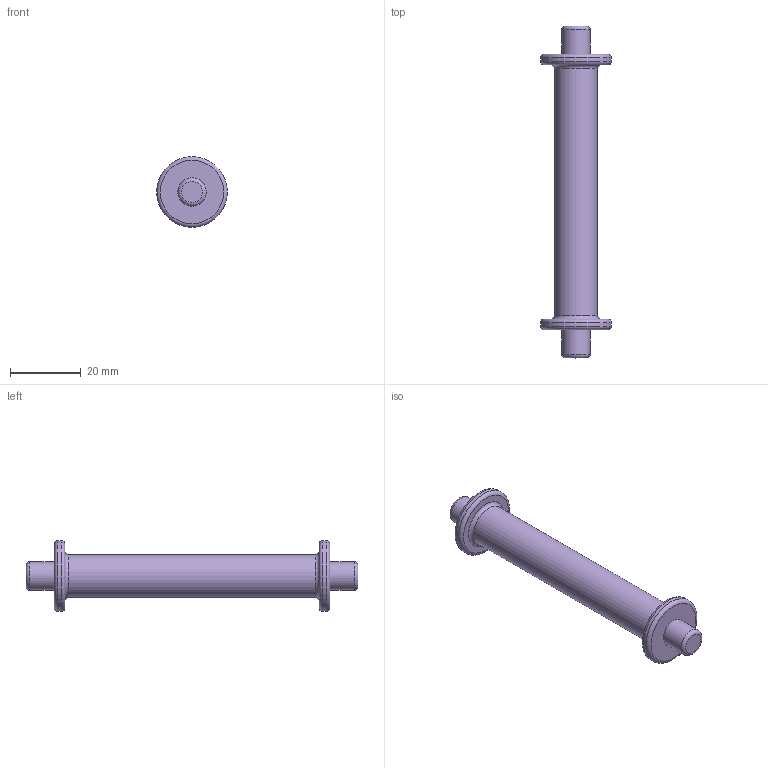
import cadquery as cq

overall_length = 94.0
shaft_diameter = 12.0
flange_diameter = 20.0
flange_thickness = 3.0
pin_diameter = 8.0
pin_length = 8.0
flange_rim_radius = 1.0
pin_tip_radius = 1.0
shaft_root_radius = 1.0

pin_tip = overall_length / 2
flange_outer_face = pin_tip - pin_length
flange_inner_face = flange_outer_face - flange_thickness


def cylinder_along_y(diameter, start, end):
    """Solid cylinder on the Y axis between two Y positions."""
    return cq.Workplane("XZ", origin=(0, end, 0)).circle(diameter / 2).extrude(end - start)


def make_shaft():
    """Central shaft between the two flanges."""
    return cylinder_along_y(shaft_diameter, -flange_inner_face, flange_inner_face)


def make_end():
    """Flange with a rounded rim and a round-tipped pin, for the +Y end."""
    flange = cylinder_along_y(flange_diameter, flange_inner_face, flange_outer_face)
    flange = flange.edges("%CIRCLE").fillet(flange_rim_radius)
    pin = cylinder_along_y(pin_diameter, flange_outer_face, pin_tip)
    pin = pin.faces(">Y").edges().fillet(pin_tip_radius)
    return flange.union(pin)


def round_shaft_roots(body):
    """Concave fillets where the shaft meets the inner flange faces."""
    search_margin = 0.1
    reach = shaft_diameter / 2 + search_margin
    for root in (-flange_inner_face, flange_inner_face):
        around_root = cq.selectors.BoxSelector(
            (-reach, root - search_margin, -reach),
            (reach, root + search_margin, reach),
            boundingbox=True,
        )
        body = body.edges(around_root).fillet(shaft_root_radius)
    return body


end = make_end()
spindle = make_shaft().union(end).union(end.mirror("XZ"))
result = round_shaft_roots(spindle)